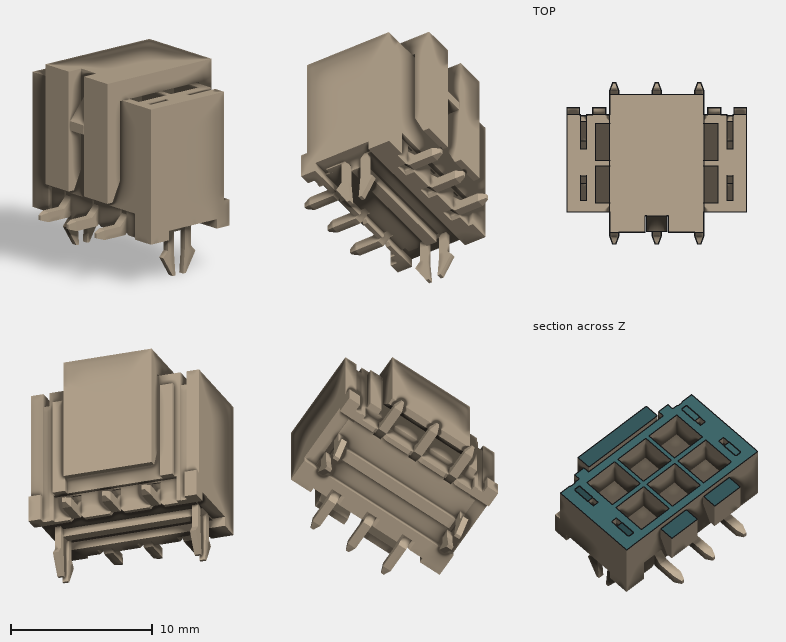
import cadquery as cq

pin_pitch = 3.0
pin_columns = 3
column_places = [(i - (pin_columns - 1) / 2) * pin_pitch for i in range(pin_columns)]

housing_length = 12.7
housing_depth = 6.87
housing_height = 9.93
half_length = housing_length / 2
half_depth = housing_depth / 2

pocket_length = 2.67
pocket_depth = 2.61
pocket_drop = 7.25

recess_half_length = 4.65
recess_height = 1.91
recess_depth = 0.35

channel_front = -1.73
channel_back = 2.74
channel_height = 0.7
pad_thickness = 0.12
gap_front = -0.44
gap_back = -0.19
rail_back = 0.61

back_reach = 0.5
foot_block_length = 0.91
rib_length = 0.93
rib_outer = 4.52
rib_top = 8.95

latch_length = 1.45
latch_reach = 1.38
latch_top = 9.45
latch_face_top = 7.8
latch_face_bottom = 7.12
latch_fillet = 0.67

cap_length = 6.64
cap_half_depth = 4.87
cap_roof = 1.5
cap_wall = 1.17
cap_bottom = 2.61
cap_taper_top = 4.06
cap_tip = 0.5
cap_notch_length = 1.65
cap_top = housing_height + cap_roof
cap_inner = cap_half_depth - cap_wall

pin_width = 0.65
pin_thickness = 0.71
pin_top = 1.81
stem_front = 2.95
stem_back = 2.39
bend_top = 1.44
bend_bottom = 0.8
pin_taper_start = 5.13
pin_end = 5.7
pin_tip_width = 0.23
pin_tip_height = 0.35
pin_tip_centre = 0.36
slot_flare_width = 0.22
slot_flare_height = 0.22

clip_place = 5.18
clip_thickness = 0.44
clip_centre = 0.07
clip_front = -2.62
clip_back = 2.95
clip_base_back = 2.39
clip_bottom = channel_height - pad_thickness
clip_bridge_top = 2.9
clip_arm_top = 7.25
arm_inner = 1.5
clip_slot_inner = 0.95
clip_groove = 0.06
leg_outer = 1.09
leg_inner = 0.51
leg_bend = -1.3
crotch_half = 0.83
crotch_top = 1.16
crotch_bottom = 0.35
barb_shoulder = -1.13
barb_level = -1.6
barb_reach = 1.51
clip_tip = -3.07
clip_tip_outer = 0.61
clip_tip_inner = 0.36


def block(x_range, y_range, z_range):
    """A box between the given limits along X, Y and Z."""
    limits = (x_range, y_range, z_range)
    sizes = [high - low for low, high in limits]
    corner = [low for low, high in limits]
    return cq.Workplane("XY").box(*sizes, centered=False).translate(tuple(corner))


def side_plate(points, length, x=0):
    """A closed YZ outline extruded to a length along X and centred on x."""
    return cq.Workplane("YZ").polyline(points).close().extrude(length / 2, both=True).translate((x, 0, 0))


def half_turn(shape):
    """The shape turned half a turn about the Z axis."""
    return shape.rotate((0, 0, 0), (0, 0, 1), 180)


def make_latch():
    """The wedge on the front face, with a fillet below it that is tangent to the face."""
    outer = -half_depth - latch_reach
    fillet_offset = latch_fillet * (1 - 0.5**0.5)
    return (
        cq.Workplane("YZ")
        .moveTo(-half_depth, latch_top)
        .lineTo(outer, latch_face_top)
        .lineTo(outer, latch_face_bottom)
        .lineTo(-half_depth - latch_fillet, latch_face_bottom)
        .threePointArc(
            (-half_depth - fillet_offset, latch_face_bottom - fillet_offset),
            (-half_depth, latch_face_bottom - latch_fillet),
        )
        .close()
        .extrude(latch_length / 2, both=True)
    )


def make_pin_slot(x):
    """A slot through the front wall that fits one pin and flares out at its bottom."""
    half = pin_width / 2
    return (
        cq.Workplane("XZ", origin=(x, -stem_back, 0))
        .polyline([
            (-half - slot_flare_width, 0),
            (-half, slot_flare_height),
            (-half, pin_top),
            (half, pin_top),
            (half, slot_flare_height),
            (half + slot_flare_width, 0),
        ])
        .close()
        .extrude(half_depth - stem_back)
    )


def make_clip_slots(x):
    """The space for one clip: a cut for its base with two slots above that open at the top."""
    x_range = (x - clip_thickness / 2, x + clip_thickness / 2)
    slot_z = (clip_bridge_top, housing_height)
    rear_slot = block(x_range, (clip_centre + clip_slot_inner, clip_back), slot_z)
    front_slot = block(x_range, (clip_front, clip_centre - clip_slot_inner), slot_z)
    bridge = block(x_range, (clip_front, clip_base_back), (clip_bottom, clip_bridge_top))
    opening = block(x_range, (clip_back, half_depth), (rib_top, housing_height))
    groove = block(x_range, (half_depth - clip_groove, half_depth), (0, housing_height))
    return rear_slot.union(front_slot).union(bridge).union(opening).union(groove)


def make_housing():
    body = block((-half_length, half_length), (-half_depth, half_depth), (0, housing_height))

    body = body.cut(block((-half_length, half_length), (channel_front, channel_back), (0, channel_height)))

    pad_half = clip_place - clip_thickness / 2
    pad_x = (-pad_half, pad_half)
    pad_z = (clip_bottom, channel_height)
    body = body.union(block(pad_x, (channel_front, gap_front), pad_z))
    body = body.union(block(pad_x, (rail_back, channel_back), pad_z))
    body = body.union(block(pad_x, (gap_back, rail_back), (0, channel_height)))

    for y in (-pin_pitch / 2, pin_pitch / 2):
        for x in column_places:
            pocket = cq.Workplane("XY").box(pocket_length, pocket_depth, pocket_drop, centered=(True, True, False))
            body = body.cut(pocket.translate((x, y, housing_height - pocket_drop)))

    recess = block(
        (-recess_half_length, recess_half_length),
        (-half_depth, recess_depth - half_depth),
        (0, recess_height),
    )
    body = body.cut(recess).cut(half_turn(recess))
    for x in column_places:
        slot = make_pin_slot(x)
        body = body.cut(slot).cut(half_turn(slot))

    for x in (-clip_place, clip_place):
        body = body.cut(make_clip_slots(x))

    rear = (half_depth, half_depth + back_reach)
    foot_block = block((-half_length, foot_block_length - half_length), rear, (0, recess_height))
    rib = block((-rib_outer, rib_length - rib_outer), rear, (recess_height, rib_top))
    for tab in (foot_block, rib):
        body = body.union(tab).union(tab.mirror("YZ"))

    return body.union(make_latch())


def make_cap():
    """A roof over the housing with two legs, the front one split around the latch."""
    tip_inner = cap_half_depth - cap_tip
    right_side = [
        (cap_half_depth, cap_top),
        (cap_half_depth, cap_bottom),
        (tip_inner, cap_bottom),
        (cap_inner, cap_taper_top),
        (cap_inner, housing_height),
    ]
    left_side = [(-y, z) for y, z in reversed(right_side)]
    cap = side_plate(right_side + left_side, cap_length)
    notch = block(
        (-cap_notch_length / 2, cap_notch_length / 2),
        (-cap_half_depth, -cap_inner),
        (cap_bottom, cap_top),
    )
    return cap.cut(notch)


def make_pin(x):
    """A front pin: a stem in the slot, a 45 degree bend and a foot with a pointed end."""
    bend_end = stem_front + bend_top - pin_thickness
    profile = [
        (-stem_back, pin_top),
        (-stem_front, pin_top),
        (-stem_front, bend_top),
        (-bend_end, pin_thickness),
        (-pin_taper_start, pin_thickness),
        (-pin_taper_start, 0),
        (-stem_back - bend_bottom, 0),
        (-stem_back, bend_bottom),
    ]
    point = (
        cq.Workplane("XZ", origin=(x, -pin_taper_start, pin_thickness / 2))
        .rect(pin_width, pin_thickness)
        .workplane(offset=pin_end - pin_taper_start)
        .center(0, pin_tip_centre - pin_thickness / 2)
        .rect(pin_tip_width, pin_tip_height)
        .loft()
    )
    return side_plate(profile, pin_width, x).union(point)


def make_clip(x):
    """A flat clip with two arms up into the housing and two barbed legs below it."""
    rear_leg = [
        (leg_outer, clip_bottom),
        (leg_outer, barb_shoulder),
        (barb_reach, barb_level),
        (clip_tip_outer, clip_tip),
        (clip_tip_inner, clip_tip),
        (leg_inner, leg_bend),
        (leg_inner, crotch_bottom),
        (crotch_half, channel_height),
        (crotch_half, crotch_top),
    ]
    rear_leg = [(clip_centre + y, z) for y, z in rear_leg]
    front_leg = [(2 * clip_centre - y, z) for y, z in reversed(rear_leg)]
    arms = [
        (clip_front, clip_bottom),
        (clip_front, clip_arm_top),
        (clip_centre - arm_inner, clip_arm_top),
        (clip_centre - arm_inner, clip_bridge_top),
        (clip_centre + arm_inner, clip_bridge_top),
        (clip_centre + arm_inner, clip_arm_top),
        (clip_back, clip_arm_top),
        (clip_back, clip_bridge_top),
        (clip_base_back, clip_bridge_top),
        (clip_base_back, clip_bottom),
    ]
    return side_plate(arms + rear_leg + front_leg, clip_thickness, x)


housing = make_housing()
cap = make_cap()
front_pins = [make_pin(x) for x in column_places]
rear_pins = [half_turn(pin) for pin in front_pins]
clips = [make_clip(x) for x in (-clip_place, clip_place)]

parts = [housing, cap, *front_pins, *rear_pins, *clips]
result = cq.Compound.makeCompound([part.solids().val() for part in parts])